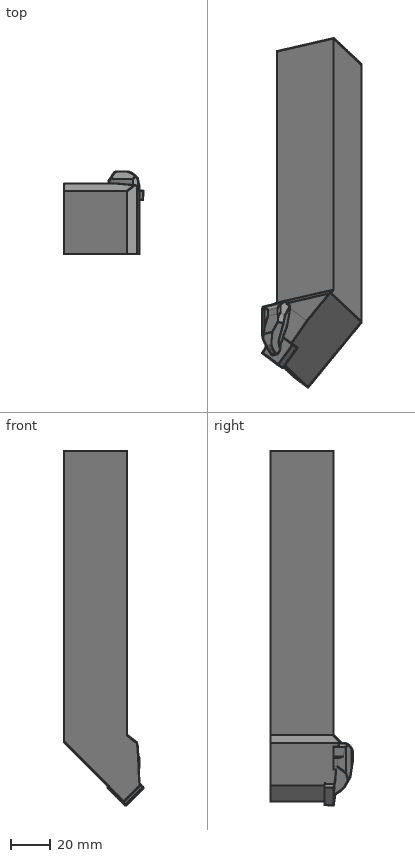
import cadquery as cq
import math

insert_side = 12.7
insert_thickness = 4.76
insert_rake = 6.0
overall_width = 40.36
edge_height = 32.0
edge_run = insert_side * math.sqrt(0.5)
tip_x = overall_width - edge_run

top_z = 179.67
shank_size = 32.0
head_depth = 35.8
head_right_x = 37.1
head_right_z = 31.8
shank_end_z = 35.7
underside_start_z = 32.3
nose_z = 2.0
nose_right_x = 38.4
nose_x = underside_start_z - nose_z
nose_right_z = nose_z + nose_right_x - nose_x

slope_angle = 8.0
slope_start_x = 13.2
slope_length = 60.0

clamp_top_y = 41.85
clamp_base_y = edge_height
clamp_min_x = 22.7
clamp_max_x = 38.3
clamp_min_z = 6.0
clamp_max_z = 31.7

clamp_end_left = (25.0, clamp_max_z)
clamp_end_right = (35.0, clamp_max_z)
clamp_left_shoulder = (clamp_min_x, 28.4)
clamp_shoulder_arc_mid = (23.3, 30.6)
clamp_left_bend = (25.0, 19.2)
clamp_left_toe = (29.5, 11.0)
clamp_toe_left = (30.0, clamp_min_z)
clamp_toe_right = (34.5, clamp_min_z)
clamp_right_bend_z = 19.7
clamp_right_step_z = 24.0
clamp_right_shoulder_lower = (37.7, 25.0)
clamp_right_shoulder_upper = (37.5, 29.8)

clamp_ramp = [(33.3, clamp_min_z), (35.8, 7.7), (37.5, 9.4), (40.5, 14.6)]
clamp_flat_start = (clamp_top_y, 23.5)
clamp_round_start = (clamp_top_y, 26.8)
clamp_round_mid = (40.5, 29.8)
clamp_round_end = (37.9, clamp_max_z)

clamp_left_slope = [(clamp_min_x, 37.0), (25.4, 41.2), (26.7, clamp_top_y)]
clamp_right_slope = [(32.2, clamp_top_y), (34.6, 41.0), (37.4, 38.3), (clamp_max_x, 34.0)]

bevel_shoulder_y = 39.4
bevel_bend_y = 38.7
bevel_toe_y = 35.5
bevel_width = 2.0
bevel_rise = 2.5
bevel_cutter_size = 50.0


def tilted_plane(x, y, z, tilt):
    """Plane facing +Y, tipped towards the cutting edge; local x runs along that edge."""
    rise = math.sin(math.radians(tilt)) * math.sqrt(0.5)
    normal = (rise, math.cos(math.radians(tilt)), -rise)
    return cq.Plane(origin=(x, y, z), xDir=(1, 0, 1), normal=normal)


insert_plane = tilted_plane(tip_x, edge_height, 0, insert_rake)


def insert_block(height_above):
    """Insert footprint from its underside to a height above its top face."""
    return (
        cq.Workplane(insert_plane)
        .workplane(offset=-insert_thickness)
        .rect(insert_side, -insert_side, centered=False)
        .extrude(insert_thickness + height_above)
    )


def make_holder_body():
    front_outline = [
        (0, top_z),
        (0, underside_start_z),
        (nose_x, nose_z),
        (nose_right_x, nose_right_z),
        (head_right_x, head_right_z),
        (shank_size, shank_end_z),
        (shank_size, top_z),
    ]
    bevel = head_depth - shank_size
    side_outline = [
        (0, 0),
        (head_depth, 0),
        (head_depth, shank_end_z - bevel),
        (shank_size, shank_end_z),
        (shank_size, top_z),
        (0, top_z),
    ]
    front_prism = cq.Workplane("XZ").polyline(front_outline).close().extrude(-head_depth)
    side_prism = cq.Workplane("YZ").polyline(side_outline).close().extrude(overall_width)
    body = front_prism.intersect(side_prism)

    slope_start_z = underside_start_z - slope_start_x
    slope_plane = tilted_plane(slope_start_x, head_depth, slope_start_z, slope_angle)
    slope_cut = (
        cq.Workplane(slope_plane)
        .center(0, slope_length / 2)
        .rect(2 * slope_length, slope_length)
        .extrude(slope_length)
    )
    return body.cut(slope_cut).cut(insert_block(slope_length))


def bevel_cutter(first, second, third):
    """Block on the outer side of the plane through three points, taken counterclockwise from outside."""
    start = cq.Vector(*first)
    along = cq.Vector(*second) - start
    across = cq.Vector(*third) - start
    plane = cq.Plane(origin=start, xDir=along, normal=along.cross(across))
    return cq.Workplane(plane).rect(bevel_cutter_size, bevel_cutter_size).extrude(bevel_cutter_size)


def bevel_left_edge(clamp):
    """Bevel the clamp above its two left faces, which meet at the bend."""
    bend_x, bend_z = clamp_left_bend
    shoulder_x, shoulder_z = clamp_left_shoulder
    toe_x, toe_z = clamp_left_toe
    bend = (bend_x, bevel_bend_y, bend_z)
    bend_top = (bend_x + bevel_width, bevel_bend_y + bevel_rise, bend_z)
    shoulder = (shoulder_x, bevel_shoulder_y, shoulder_z)
    toe = (toe_x, bevel_toe_y, toe_z)
    clamp = clamp.cut(bevel_cutter(bend, shoulder, bend_top))
    return clamp.cut(bevel_cutter(bend, bend_top, toe))


def make_clamp():
    """Clamp as the common part of its outline, profile and cross-section."""
    base_plane = cq.Plane(origin=(0, clamp_base_y, 0), xDir=(1, 0, 0), normal=(0, -1, 0))
    outline = (
        cq.Workplane(base_plane)
        .moveTo(*clamp_end_left)
        .lineTo(*clamp_end_right)
        .lineTo(*clamp_right_shoulder_upper)
        .lineTo(*clamp_right_shoulder_lower)
        .lineTo(clamp_max_x, clamp_right_step_z)
        .lineTo(clamp_max_x, clamp_right_bend_z)
        .lineTo(*clamp_toe_right)
        .lineTo(*clamp_toe_left)
        .lineTo(*clamp_left_toe)
        .lineTo(*clamp_left_bend)
        .lineTo(*clamp_left_shoulder)
        .threePointArc(clamp_shoulder_arc_mid, clamp_end_left)
        .close()
        .extrude(clamp_base_y - clamp_top_y)
    )
    profile = (
        cq.Workplane("YZ")
        .polyline([(clamp_base_y, clamp_min_z), *clamp_ramp, clamp_flat_start, clamp_round_start])
        .threePointArc(clamp_round_mid, clamp_round_end)
        .lineTo(clamp_base_y, clamp_max_z)
        .close()
        .extrude(overall_width)
    )
    cross_section = (
        cq.Workplane("XY")
        .moveTo(clamp_min_x, clamp_base_y)
        .polyline([*clamp_left_slope, *clamp_right_slope], includeCurrent=True)
        .lineTo(clamp_max_x, clamp_base_y)
        .close()
        .extrude(shank_end_z)
    )
    return bevel_left_edge(outline.intersect(profile).intersect(cross_section))


insert = insert_block(0)
holder = make_holder_body().union(make_clamp().cut(insert))

result = cq.Compound.makeCompound([holder.solids().val(), insert.val()])